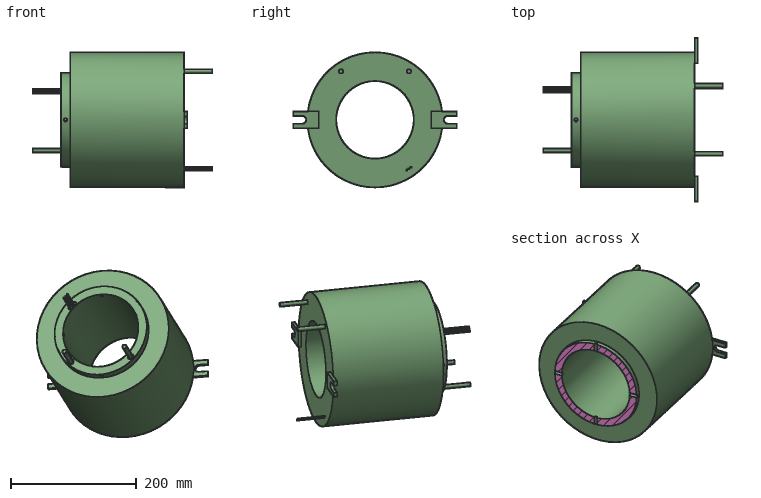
import cadquery as cq
import math

total_length = 285.0
lead_length = 44.7
flange_length = 14.5
flange_start = lead_length
body_start = flange_start + flange_length
body_end = total_length - lead_length

body_diameter = 215.0
flange_diameter = 150.0
bore_diameter = 122.8

screw_hole_diameter = 4.5
screw_hole_count = 4

lug_span = 260.0
lug_length = 40.5
lug_width = 26.8
lug_thickness = 5.5
lug_slot_width = 12.0
lug_slot_depth = 20.5

lead_radius = 3.5
lead_recess_radius = 4.5
recess_depth = 0.5
front_lead_circle = 69.0
front_lead_angles = (-45, -135)
rear_lead_circle = 94.0
rear_lead_angles = (55, 125)

wire_radius = 1.0
wire_pitch = 4.0
wires_per_bundle = 3
bundle_pocket_radius = 3.7
bundle_pocket_length = 15.0
bundle_pocket_angle = 45
front_bundle_circle = 65.3
front_bundle_angle = 44
rear_bundle_circle = 94.3
rear_bundle_angle = -55.2


def rod(start, end, radius, y=0.0, z=0.0):
    """Cylinder parallel to X between two X positions."""
    direction = cq.Vector(1, 0, 0)
    return cq.Workplane(cq.Solid.makeCylinder(radius, end - start, cq.Vector(start, y, z), direction))


def on_circle(circle_radius, angle, tangent_offset=0.0):
    """Y and Z of a point on a circle about the X axis, moved along the tangent."""
    cosine = math.cos(math.radians(angle))
    sine = math.sin(math.radians(angle))
    y = circle_radius * cosine - tangent_offset * sine
    z = circle_radius * sine + tangent_offset * cosine
    return y, z


def make_housing():
    housing = rod(body_start, body_end, body_diameter / 2)
    housing = housing.union(rod(flange_start, body_start, flange_diameter / 2))
    return housing.cut(rod(flange_start, body_end, bore_diameter / 2))


def make_screw_holes():
    hole = (
        cq.Workplane("XY")
        .center(flange_start + flange_length / 2, 0)
        .circle(screw_hole_diameter / 2)
        .extrude(flange_diameter / 2)
    )
    holes = cq.Workplane("XY")
    for index in range(screw_hole_count):
        holes = holes.add(hole.rotate((0, 0, 0), (1, 0, 0), index * 360 / screw_hole_count))
    return holes.combine()


def make_lug(side):
    """Lug on the +Y (side = 1) or -Y (side = -1) flank, its slot open outwards."""
    outer_y = side * lug_span / 2
    center_y = outer_y - side * lug_length / 2
    lug = (
        cq.Workplane("YZ", origin=(body_end, 0, 0))
        .center(center_y, 0)
        .rect(lug_length, lug_width)
        .extrude(lug_thickness)
    )
    slot = (
        cq.Workplane("YZ", origin=(body_end, 0, 0))
        .center(outer_y, 0)
        .slot2D(2 * lug_slot_depth, lug_slot_width)
        .extrude(lug_thickness)
    )
    return lug.cut(slot)


def make_bundle_pocket():
    y, z = on_circle(front_bundle_circle, bundle_pocket_angle)
    return (
        cq.Workplane("YZ", origin=(flange_start, y, z))
        .slot2D(bundle_pocket_length, 2 * bundle_pocket_radius, bundle_pocket_angle + 90)
        .extrude(recess_depth)
    )


def add_bundle(part, start, end, circle_radius, angle):
    for index in range(wires_per_bundle):
        offset = (index - (wires_per_bundle - 1) / 2) * wire_pitch
        part = part.union(rod(start, end, wire_radius, *on_circle(circle_radius, angle, offset)))
    return part


result = make_housing().cut(make_screw_holes())
for lug_side in (-1, 1):
    result = result.union(make_lug(lug_side))

front_floor = flange_start + recess_depth
for lead_angle in front_lead_angles:
    lead_place = on_circle(front_lead_circle, lead_angle)
    result = result.cut(rod(flange_start, front_floor, lead_recess_radius, *lead_place))
    result = result.union(rod(0, front_floor, lead_radius, *lead_place))
result = result.cut(make_bundle_pocket())
result = add_bundle(result, 0, front_floor, front_bundle_circle, front_bundle_angle)

for lead_angle in rear_lead_angles:
    lead_place = on_circle(rear_lead_circle, lead_angle)
    result = result.union(rod(body_end, total_length, lead_radius, *lead_place))
result = add_bundle(result, body_end, total_length, rear_bundle_circle, rear_bundle_angle)